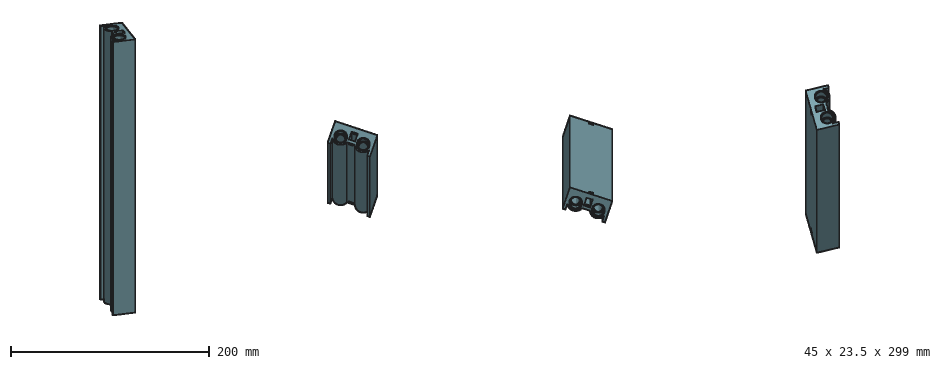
import cadquery as cq

width = 45.0
depth = 23.5
length = 299.0
back_y = depth / 2

web_depth = 16.75
leg_thickness = 3.0
tube_radius = 8.5
tube_spacing = 24.0
tube_y = back_y - 13.5

bore_diameter = 9.0
port_diameter = 11.5
port_mouth_diameter = 13.2
port_depth = 12.0
port_mouth_chamfer = (port_mouth_diameter - port_diameter) / 2

channel_width = 6.5
channel_depth = 8.5
channel_y = back_y - 9.25

mounting_hole_diameter = 4.5
mounting_hole_end_distance = 6.25

tube_centers = [(-tube_spacing / 2, tube_y), (tube_spacing / 2, tube_y)]


def box_along_length(x_size, y_size, x_center, y_center):
    """Full-length bar with a rectangular section."""
    return cq.Workplane("XY").center(x_center, y_center).rect(x_size, y_size).extrude(length)


def make_body():
    """Web with a leg along each edge and two tubes bulging out of its front."""
    body = box_along_length(width, web_depth, 0, back_y - web_depth / 2)
    leg_x = (width - leg_thickness) / 2
    for side in (-1, 1):
        body = body.union(box_along_length(leg_thickness, depth, side * leg_x, 0))
    tubes = cq.Workplane("XY").pushPoints(tube_centers).circle(tube_radius).extrude(length)
    return body.union(tubes)


def make_bore(x, y):
    """Through bore with a chamfered port at both ends, revolved about its own axis."""
    bore_radius = bore_diameter / 2
    port_radius = port_diameter / 2
    mouth_radius = port_mouth_diameter / 2
    return (
        cq.Workplane("XZ")
        .moveTo(0, 0)
        .lineTo(mouth_radius, 0)
        .lineTo(port_radius, port_mouth_chamfer)
        .lineTo(port_radius, port_depth)
        .lineTo(bore_radius, port_depth)
        .lineTo(bore_radius, length - port_depth)
        .lineTo(port_radius, length - port_depth)
        .lineTo(port_radius, length - port_mouth_chamfer)
        .lineTo(mouth_radius, length)
        .lineTo(0, length)
        .close()
        .revolve(360, (0, 0), (0, 1))
        .translate((x, y, 0))
    )


def make_mounting_holes():
    """Cutters running front to back on the centre line."""
    hole_heights = (mounting_hole_end_distance, length - mounting_hole_end_distance)
    return (
        cq.Workplane("XZ", origin=(0, back_y, 0))
        .pushPoints([(0, z) for z in hole_heights])
        .circle(mounting_hole_diameter / 2)
        .extrude(depth)
    )


result = make_body()
for tube_x, tube_center_y in tube_centers:
    result = result.cut(make_bore(tube_x, tube_center_y))
result = result.cut(box_along_length(channel_width, channel_depth, 0, channel_y))
result = result.cut(make_mounting_holes())